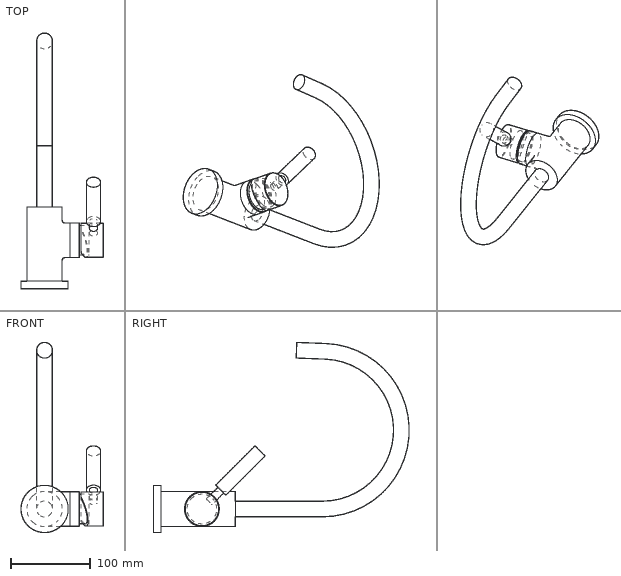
import cadquery as cq
import math

overall_width = 104.5

housing_radius = 22.5
housing_end = 104.0
branch_radius = 22.0
branch_y = 61.5
branch_end = 32.5
branch_fillet = 3.2

flange_radius = 60.0 / 2
flange_thickness = 10.0

spout_radius = 10.0
riser_end = 214.0
bend_radius = 99.8
outlet_length = 37.0
outlet_slope = math.radians(2.2)

collar_end = 44.5
collar_chamfer = 0.5
core_radius = 18.8
core_end = 56.0

knob_radius = 21.7
knob_start = 46.0
knob_end = overall_width - flange_radius
knob_chamfer = 0.5
relief_depth = 9.0

lever_x = 62.0
lever_angle = 45
lever_radius = 9.0
lever_start = 33.7
lever_end = 104.0
stud_radius = 5.2
stud_start = 13.0


def rod_y(radius, start, end):
    """Cylinder on the housing axis between two Y positions."""
    return cq.Workplane("XZ", origin=(0, start, 0)).circle(radius).extrude(start - end)


def rod_x(radius, start, end):
    """Cylinder on the branch axis between two X positions."""
    return cq.Workplane("YZ", origin=(start, branch_y, 0)).circle(radius).extrude(end - start)


def rod_lever(radius, start, end):
    """Cylinder on the lever axis, with distances counted from the branch axis."""
    rod = cq.Workplane("XY", origin=(lever_x, branch_y, start)).circle(radius).extrude(end - start)
    return lean_back(rod)


def lean_back(body):
    """Turn a body about the branch axis from +Z to the lever direction."""
    return body.rotate((0, branch_y, 0), (1, branch_y, 0), -lever_angle)


def make_flange():
    return rod_y(flange_radius, 0, flange_thickness)


def make_housing():
    tube = rod_y(housing_radius, flange_thickness, housing_end)
    housing = tube.union(rod_x(branch_radius, 0, branch_end))
    joint = cq.selectors.BoxSelector(
        (0, branch_y - housing_radius, -housing_radius),
        (housing_radius, branch_y + housing_radius, housing_radius),
    )
    return housing.edges(joint).fillet(branch_fillet)


def make_spout():
    def bend_point(angle):
        """Point on the bend centreline; angle 0 is the outermost point in Y."""
        return (
            riser_end + bend_radius * math.cos(angle),
            bend_radius + bend_radius * math.sin(angle),
        )

    bend_finish = bend_point(math.pi / 2 - outlet_slope)
    outlet = (
        bend_finish[0] - outlet_length * math.cos(outlet_slope),
        bend_finish[1] + outlet_length * math.sin(outlet_slope),
    )
    path = (
        cq.Workplane("YZ")
        .moveTo(housing_end, 0)
        .lineTo(riser_end, 0)
        .threePointArc(bend_point(0), bend_finish)
        .lineTo(*outlet)
    )
    profile = cq.Workplane("XZ", origin=(0, housing_end, 0)).circle(spout_radius)
    return profile.sweep(path)


def make_collar():
    collar = rod_x(branch_radius, branch_end, collar_end).faces(">X").chamfer(collar_chamfer)
    return collar.union(rod_x(core_radius, collar_end, core_end))


def make_relief():
    """Wedge slanting into the knob rim, deepest on the side opposite the lever."""
    wedge = (
        cq.Workplane("XZ", origin=(0, branch_y, 0))
        .moveTo(knob_start, 0)
        .lineTo(knob_start, -knob_radius)
        .lineTo(knob_start + relief_depth, -knob_radius)
        .close()
        .extrude(knob_radius, both=True)
    )
    return lean_back(wedge)


def make_knob(stud):
    knob = rod_x(knob_radius, knob_start, knob_end).faces(">X").chamfer(knob_chamfer)
    core_bore = rod_x(core_radius, knob_start, core_end)
    return knob.cut(core_bore).cut(make_relief()).cut(stud)


def make_stud():
    return rod_lever(stud_radius, stud_start, lever_start)


def make_lever(stud):
    return rod_lever(lever_radius, lever_start, lever_end).union(stud)


stud = make_stud()
flange = make_flange()
housing = make_housing()
spout = make_spout()
collar = make_collar()
knob = make_knob(stud)
lever = make_lever(stud)

bodies = [flange, housing, spout, collar, knob, lever]
result = cq.Compound.makeCompound([body.solids().val() for body in bodies])